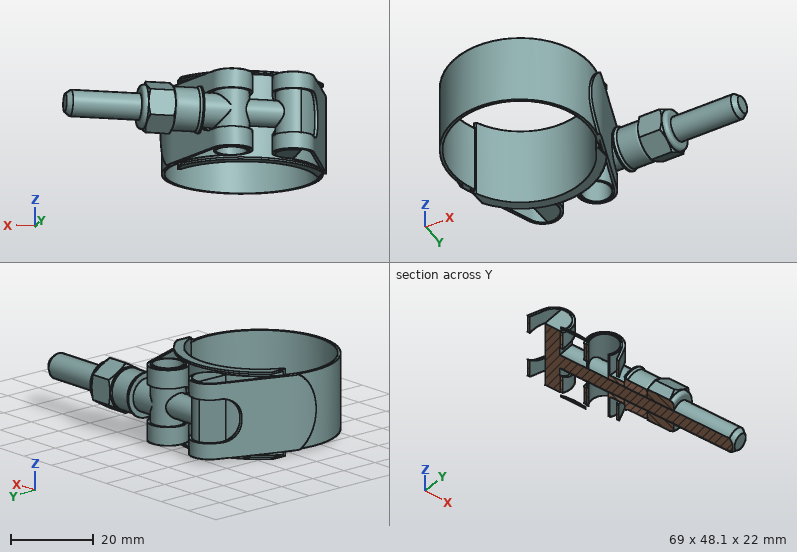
import cadquery as cq
import math


band_outer_radius = 19.5
band_thickness = 0.7
band_width = 19.0
tongue_end_radius = 11.8
tongue_end_y = -0.25

trunnion_radius = 4.35
trunnion_length = 19.5
trunnion_x = 7.6
solid_trunnion_flat = 1.0
tube_wall = 0.5

bolt_slot_width = 11.0
bolt_slot_corner = 5.0
bolt_slot_bottom = 18.7
sleeve_slot_width = 9.7
sleeve_slot_corner = 4.75

bolt_axis_y = 22.9
bolt_radius = 3.25
bolt_end_x = 48.77
bolt_chamfer_length = 1.35
bolt_chamfer_depth = 1.0
sleeve_radius = 4.25
collar_start_x = 15.5
collar_length = 7.0
collar_radius = 5.32
collar_rim_radius = 5.73
collar_rim_length = 0.35
collar_taper_length = 0.65
collar_fillet = 0.8
nut_across_flats = 11.0
nut_hex_length = 6.8
nut_chamfer_length = 0.5
nut_end_radius = 5.35
nut_ring_radius = 5.4
nut_ring_length = 1.2
nut_ring_fillet = 0.9

bridge_inner_radius = 18.35
bridge_web_radius = 19.2
bridge_flange_radius = 20.85
bridge_flange_thickness = 0.5
bridge_width = 22.0
bridge_half_span = 17.5
bridge_end_y = 7.3

ring_radius = band_outer_radius - band_thickness / 2
lap_radius = band_outer_radius + band_thickness / 2
loop_radius = trunnion_radius + band_thickness / 2

trunnion_distance = math.hypot(trunnion_x, bolt_axis_y)
trunnion_angle = math.degrees(math.atan2(bolt_axis_y, -trunnion_x))
lap_angle = trunnion_angle + math.degrees(math.acos((lap_radius - loop_radius) / trunnion_distance))
ring_angle = trunnion_angle + math.degrees(math.acos((ring_radius + loop_radius) / trunnion_distance))

ring_centre = (0, 0)
left_centre = (-trunnion_x, bolt_axis_y)


def polar(centre, radius, angle):
    """Point at an angle in degrees on a circle."""
    turn = math.radians(angle)
    return (centre[0] + radius * math.cos(turn), centre[1] + radius * math.sin(turn))


def arc_to(outline, centre, radius, start, end):
    """Add an arc that begins at the outline's last point."""
    middle = polar(centre, radius, (start + end) / 2)
    return outline.threePointArc(middle, polar(centre, radius, end))


def z_disc(radius, length, centre=ring_centre):
    """Cylinder along Z, centred on Z = 0."""
    return cq.Workplane("XY").center(*centre).circle(radius).extrude(length / 2, both=True)


def x_disc(radius, start_x, end_x):
    """Cylinder on the bolt axis."""
    plane = cq.Workplane("YZ", origin=(start_x, bolt_axis_y, 0))
    return plane.circle(radius).extrude(end_x - start_x)


def x_revolve(points):
    """Solid turned about the bolt axis from (x, radius) points."""
    profile = cq.Workplane("XY", origin=(0, bolt_axis_y, 0)).polyline(points).close()
    return profile.revolve(360, (0, 0, 0), (1, 0, 0))


def band_end():
    """Left end of the band: up from the ring, around the trunnion and back down onto the ring."""
    half = band_thickness / 2
    ring_tangent = ring_angle + 180
    lap_tangent = lap_angle + 360
    tongue_angle = 180 - math.degrees(math.asin(tongue_end_y / (lap_radius - half)))

    outline = cq.Workplane("XY").moveTo(*polar(ring_centre, lap_radius + half, tongue_angle))
    outline = arc_to(outline, ring_centre, lap_radius + half, tongue_angle, lap_angle)
    outline = outline.lineTo(*polar(left_centre, loop_radius + half, lap_tangent))
    outline = arc_to(outline, left_centre, loop_radius + half, lap_tangent, ring_tangent)
    outline = outline.lineTo(*polar(ring_centre, ring_radius - half, ring_angle))
    outline = outline.lineTo(*polar(ring_centre, ring_radius + half, ring_angle))
    outline = outline.lineTo(*polar(left_centre, loop_radius - half, ring_tangent))
    outline = arc_to(outline, left_centre, loop_radius - half, ring_tangent, lap_tangent)
    outline = outline.lineTo(*polar(ring_centre, lap_radius - half, lap_angle))
    outline = arc_to(outline, ring_centre, lap_radius - half, lap_angle, tongue_angle)
    strip = outline.close().extrude(band_width / 2, both=True)

    reach = 2 * band_outer_radius
    round_centre_y = tongue_end_y + tongue_end_radius
    tongue = (
        cq.Workplane("YZ", origin=(-reach, round_centre_y, 0))
        .circle(tongue_end_radius)
        .extrude(reach)
    )
    upper = cq.Workplane("XY").box(reach, reach, band_width, centered=(False, False, True))
    upper = upper.translate((-reach, round_centre_y, 0))
    return strip.intersect(tongue.union(upper))


def band_slot(width, corner, bottom_y):
    """Slot along X over the left trunnion, open at the top and rounded at the bottom."""
    top_y = bolt_axis_y + 2 * trunnion_radius
    length = band_outer_radius
    block = cq.Workplane("XY").box(length, top_y - bottom_y, width, centered=(False, False, True))
    return block.edges("|X and <Y").fillet(corner).translate((-length, bottom_y, 0))


def make_band():
    """Open ring with a slotted, looped end on each side."""
    half = band_thickness / 2
    start = ring_angle
    end = 180 - ring_angle + 360
    outline = cq.Workplane("XY").moveTo(*polar(ring_centre, ring_radius + half, start))
    outline = arc_to(outline, ring_centre, ring_radius + half, start, end)
    outline = outline.lineTo(*polar(ring_centre, ring_radius - half, end))
    outline = arc_to(outline, ring_centre, ring_radius - half, end, start)
    ring = outline.close().extrude(band_width / 2, both=True)

    sleeve_slot_bottom = bolt_axis_y - sleeve_slot_width / 2
    bolt_end = band_end().cut(band_slot(bolt_slot_width, bolt_slot_corner, bolt_slot_bottom))
    sleeve_end = band_end().cut(band_slot(sleeve_slot_width, sleeve_slot_corner, sleeve_slot_bottom))
    return ring.union(bolt_end).union(sleeve_end.mirror("YZ"))


def make_bridge(band):
    """Channel-shaped shoe that spans the gap in the ring, recessed where the band lies on it."""
    groove_width = bridge_width - 2 * bridge_flange_thickness
    groove = z_disc(bridge_flange_radius, groove_width).cut(z_disc(bridge_web_radius, groove_width))
    channel = z_disc(bridge_flange_radius, bridge_width).cut(groove)
    channel = channel.cut(z_disc(bridge_inner_radius, bridge_width))
    span = cq.Workplane("XY").box(
        2 * bridge_half_span, bridge_flange_radius, bridge_width, centered=(True, False, True)
    )
    span = span.translate((0, bridge_end_y, 0))
    return channel.intersect(span).cut(band)


def make_bolt():
    """Threaded rod welded into a solid D-shaped trunnion."""
    flat_x = -trunnion_x - solid_trunnion_flat
    head = z_disc(trunnion_radius, trunnion_length, left_centre)
    beyond_flat = cq.Workplane("XY").box(
        trunnion_radius, 2 * trunnion_radius, trunnion_length, centered=(False, True, True)
    )
    head = head.cut(beyond_flat.translate((flat_x - trunnion_radius, bolt_axis_y, 0)))
    rod = x_revolve([
        (-trunnion_x, 0),
        (-trunnion_x, bolt_radius),
        (bolt_end_x - bolt_chamfer_length, bolt_radius),
        (bolt_end_x, bolt_radius - bolt_chamfer_depth),
        (bolt_end_x, 0),
    ])
    return head.union(rod)


def make_sleeve(bolt_hole):
    """Tubular trunnion with a sleeve that carries the collar."""
    centre = (trunnion_x, bolt_axis_y)
    tube = z_disc(trunnion_radius, trunnion_length, centre)
    tube = tube.union(x_disc(sleeve_radius, trunnion_x, collar_start_x))
    tube = tube.cut(z_disc(trunnion_radius - tube_wall, trunnion_length, centre))
    return tube.cut(bolt_hole)


def make_collar(bolt_hole):
    """Round collar with a thin tapered rim at its near end."""
    end_x = collar_start_x + collar_length
    rim_x = collar_start_x + collar_rim_length
    collar = x_revolve([
        (collar_start_x, 0),
        (collar_start_x, collar_rim_radius),
        (rim_x, collar_rim_radius),
        (rim_x + collar_taper_length, collar_radius),
        (end_x, collar_radius),
        (end_x, 0),
    ])
    return collar.faces(">X").edges().fillet(collar_fillet).cut(bolt_hole)


def make_nut(bolt_hole):
    """Hexagon lock nut with two flats facing along Y and a rounded ring at its far end."""
    start_x = collar_start_x + collar_length
    hex_end_x = start_x + nut_hex_length
    corner_radius = nut_across_flats / math.sqrt(3)
    corners = [polar((0, 0), corner_radius, 60 * i + 90) for i in range(6)]
    hexagon = cq.Workplane("YZ", origin=(start_x, bolt_axis_y, 0)).polyline(corners).close()
    envelope = x_revolve([
        (start_x, 0),
        (start_x, nut_end_radius),
        (start_x + nut_chamfer_length, corner_radius),
        (hex_end_x - nut_chamfer_length, corner_radius),
        (hex_end_x, nut_end_radius),
        (hex_end_x, 0),
    ])
    body = hexagon.extrude(nut_hex_length).intersect(envelope)
    ring = x_disc(nut_ring_radius, start_x, hex_end_x + nut_ring_length)
    ring = ring.faces(">X").edges().fillet(nut_ring_fillet)
    return body.union(ring).cut(bolt_hole)


bolt_hole = x_disc(bolt_radius, 0, bolt_end_x)
band = make_band()
bridge = make_bridge(band)
bolt = make_bolt()
sleeve = make_sleeve(bolt_hole)
collar = make_collar(bolt_hole)
nut = make_nut(bolt_hole)

result = cq.Compound.makeCompound([
    band.solids().val(),
    bridge.solids().val(),
    bolt.solids().val(),
    sleeve.solids().val(),
    collar.solids().val(),
    nut.solids().val(),
])